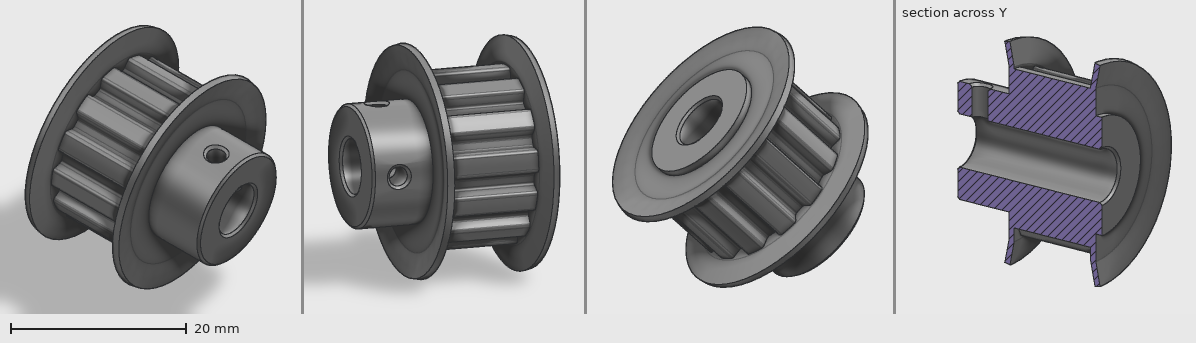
import cadquery as cq
import math

length = 20.65
hub_radius = 7.15
hub_chamfer = 0.3
seam_angle = 225
bore_radius = 3.19
bore_chamfer = 0.3

tooth_count = 13
tip_radius = 10.31
root_radius = 8.9
track_start = 1.67
track_width = 10.85
gap_floor_width = 1.27
flank_angle = 25.0
tooth_fillet = 0.4

flange_radius = 13.5
flange_thickness = 0.8
bend_radius = 10.45
flare_angle = 11.8

screw_x = 17.45
screw_radius = 1.1
screw_chamfer = 0.35
screw_directions = ((0, 1, 0), (0, 0, 1))


def make_hub():
    """Plain cylinder over the full length, chamfered at its long end."""
    hub = cq.Workplane("YZ").circle(hub_radius).extrude(length)
    hub = hub.faces(">X").edges().chamfer(hub_chamfer)
    return hub.rotate((0, 0, 0), (1, 0, 0), seam_angle)


def make_tooth_gap():
    """Trapezoidal cutter at the +Z side with rounded floor and tip corners."""
    flank = math.radians(flank_angle)
    half_floor = gap_floor_width / 2

    floor_mid_turn = (math.pi / 2 - flank) / 2
    setback = tooth_fillet * math.tan(floor_mid_turn)
    floor_y = half_floor - setback
    floor_arc_y = half_floor + setback * math.sin(flank)
    floor_arc_z = root_radius + setback * math.cos(flank)
    floor_mid_y = floor_y + tooth_fillet * math.sin(floor_mid_turn)
    floor_mid_z = root_radius + tooth_fillet * (1 - math.cos(floor_mid_turn))

    start_y = half_floor + tooth_fillet * math.cos(flank)
    start_z = root_radius - tooth_fillet * math.sin(flank)
    centre_radius = tip_radius - tooth_fillet
    along = start_y * math.sin(flank) + start_z * math.cos(flank)
    travel = math.sqrt(along**2 - start_y**2 - start_z**2 + centre_radius**2) - along
    centre_y = start_y + travel * math.sin(flank)
    centre_z = start_z + travel * math.cos(flank)
    flank_y = centre_y - tooth_fillet * math.cos(flank)
    flank_z = centre_z + tooth_fillet * math.sin(flank)
    tip_y = centre_y * tip_radius / centre_radius
    tip_z = centre_z * tip_radius / centre_radius
    tip_turn = math.atan2(centre_z, centre_y)
    mid_turn = (tip_turn + math.pi - flank) / 2
    tip_mid_y = centre_y + tooth_fillet * math.cos(mid_turn)
    tip_mid_z = centre_z + tooth_fillet * math.sin(mid_turn)

    return (
        cq.Workplane("YZ", origin=(track_start, 0, 0))
        .moveTo(-floor_y, root_radius)
        .lineTo(floor_y, root_radius)
        .threePointArc((floor_mid_y, floor_mid_z), (floor_arc_y, floor_arc_z))
        .lineTo(flank_y, flank_z)
        .threePointArc((tip_mid_y, tip_mid_z), (tip_y, tip_z))
        .threePointArc((0, tip_radius), (-tip_y, tip_z))
        .threePointArc((-tip_mid_y, tip_mid_z), (-flank_y, flank_z))
        .lineTo(-floor_arc_y, floor_arc_z)
        .threePointArc((-floor_mid_y, floor_mid_z), (-floor_y, root_radius))
        .close()
        .extrude(track_width)
    )


def make_track():
    """Belt track with one tooth centred on +Z."""
    track = cq.Workplane("YZ", origin=(track_start, 0, 0)).circle(tip_radius).extrude(track_width)
    gap = make_tooth_gap()
    pitch_angle = 360 / tooth_count
    for index in range(tooth_count):
        track = track.cut(gap.rotate((0, 0, 0), (1, 0, 0), (index + 0.5) * pitch_angle))
    return track


def make_flange(inner_x, outward):
    """Flange whose belt-side face lies at inner_x; outward is its X direction away from the belt."""
    flare = math.radians(flare_angle)
    outer_x = inner_x + outward * flange_thickness
    inner_bend_radius = bend_radius + flange_thickness * math.tan(flare / 2)
    inner_rim_x = inner_x + outward * (flange_radius - inner_bend_radius) * math.tan(flare)
    outer_rim_x = inner_rim_x + outward * flange_thickness * math.cos(flare)
    outer_rim_radius = flange_radius - flange_thickness * math.sin(flare)
    return (
        cq.Workplane("XY")
        .moveTo(inner_x, 0)
        .lineTo(inner_x, inner_bend_radius)
        .lineTo(inner_rim_x, flange_radius)
        .lineTo(outer_rim_x, outer_rim_radius)
        .lineTo(outer_x, bend_radius)
        .lineTo(outer_x, 0)
        .close()
        .revolve(360, (0, 0, 0), (1, 0, 0))
    )


def cut_bore(body):
    """Through bore, chamfered at both ends."""
    bore = cq.Workplane("YZ").circle(bore_radius).extrude(length)
    body = body.cut(bore)
    mouth_radius = bore_radius + bore_chamfer
    for end_x, inward in ((0, 1), (length, -1)):
        end = cq.Vector(end_x, 0, 0)
        cone = cq.Solid.makeCone(mouth_radius, bore_radius, bore_chamfer, end, cq.Vector(inward, 0, 0))
        body = body.cut(cone)
    return body


def drill_screw_hole(hub, direction):
    """Radial hole from the axis out through the hub, with its outer edge chamfered."""
    axis = cq.Vector(*direction)
    hole = cq.Solid.makeCylinder(screw_radius, length, cq.Vector(screw_x, 0, 0), axis)
    mouth_centre = cq.Vector(screw_x, 0, 0) + axis * hub_radius
    drilled = hub.cut(hole)
    return drilled.edges(cq.NearestToPointSelector(mouth_centre.toTuple())).chamfer(screw_chamfer)


hub = make_hub()
for direction in screw_directions:
    hub = drill_screw_hole(hub, direction)

body = hub.union(make_track())
body = body.union(make_flange(track_start, -1))
body = body.union(make_flange(track_start + track_width, 1))
result = cut_bore(body)